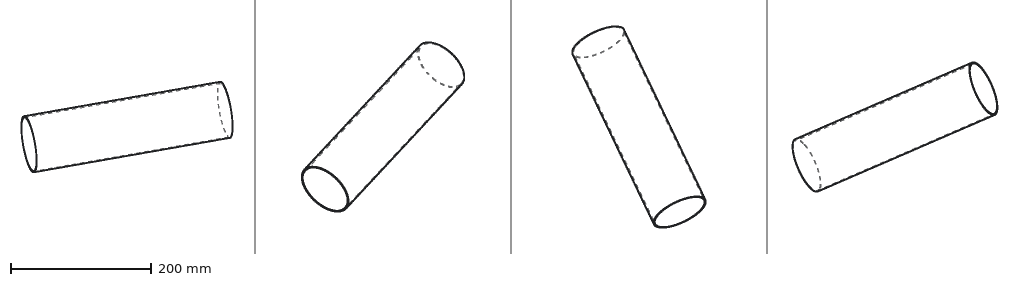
import cadquery as cq

outer_diameter = 81.4
wall_thickness = 2.0
length = 290.0

outer_radius = outer_diameter / 2
inner_radius = outer_radius - wall_thickness

result = (
    cq.Workplane("XZ", origin=(0, length / 2, 0))
    .circle(outer_radius)
    .circle(inner_radius)
    .extrude(length)
)